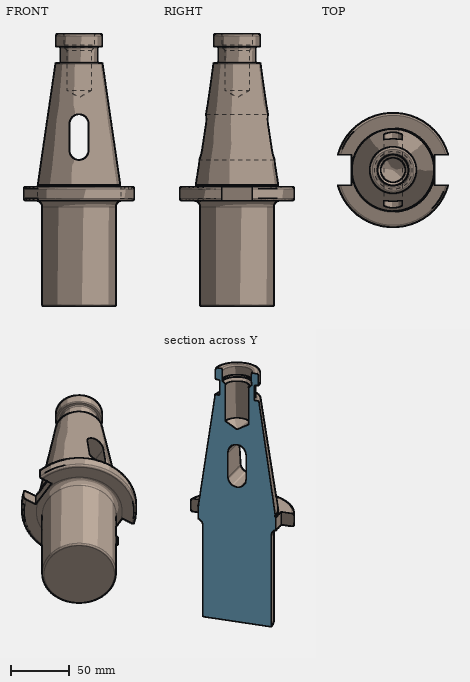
import cadquery as cq
import math

EDGE_MARGIN = 0.1

SHANK_END_TO_GAUGE = 105.0
GAUGE_TO_TIP = 126.8
TIP_Z = SHANK_END_TO_GAUGE + GAUGE_TO_TIP

TAPER_RATIO = 7 / 24
GAUGE_DIAMETER = 69.85
TAPER_LENGTH = 101.9
TAPER_EDGE_FILLET = 1.0
TAPER_TOP_Z = SHANK_END_TO_GAUGE + TAPER_LENGTH
TAPER_TOP_RADIUS = (GAUGE_DIAMETER - TAPER_LENGTH * TAPER_RATIO) / 2

RELIEF_DEPTH = 0.3
RELIEF_FILLET = 0.8
RELIEF_TOP_Z = 103.4
RELIEF_TOP_RADIUS = (GAUGE_DIAMETER + (SHANK_END_TO_GAUGE - RELIEF_TOP_Z) * TAPER_RATIO) / 2
RELIEF_RADIUS = RELIEF_TOP_RADIUS - RELIEF_DEPTH

FLANGE_DIAMETER = 97.5
FLANGE_THICKNESS = 12.0
FLANGE_FILLET = 2.0
GAUGE_TO_FLANGE = 3.2
FLANGE_TOP_Z = SHANK_END_TO_GAUGE - GAUGE_TO_FLANGE
FLANGE_BOTTOM_Z = FLANGE_TOP_Z - FLANGE_THICKNESS
NOTCH_WIDTH = 25.7
NOTCH_FLOOR_X = 35.3

SHANK_RADIUS = 31.5
SHANK_END_FILLET = 1.5
SHANK_ROOT_FILLET = 5.0

NECK_RADIUS = 16.0
KNOB_RADIUS = 19.8
KNOB_LENGTH = 11.2
KNOB_TOP_FILLET = 2.0
KNOB_BOTTOM_FILLET = 1.0
NECK_FILLET = 0.9

MOUTH_FILLET = 1.4
COUNTERBORE_RADIUS = 13.0
COUNTERBORE_DEPTH = 9.3
UNDERCUT_RADIUS = 13.4
UNDERCUT_WIDTH = 2.1
SEAT_CONE_ANGLE = 90.0
BORE_RADIUS = 10.4
BORE_DEPTH = 48.0
DRILL_POINT_ANGLE = 120.0

SLOT_WIDTH = 16.0
SLOT_HEIGHT = 38.6
SLOT_CENTER_Z = 143.9


def cone_height(radius_change, included_angle):
    """Axial length of a cone that changes radius by the given amount."""
    return radius_change / math.tan(math.radians(included_angle / 2))


def edge_box(reach, z):
    """Selector for edges that lie wholly within the given reach of the axis, at height z."""
    low = (-reach, -reach, z - EDGE_MARGIN)
    high = (reach, reach, z + EDGE_MARGIN)
    return cq.selectors.BoxSelector(low, high, boundingbox=True)


def round_circle(body, radius, z, fillet):
    """Fillet the circular edge of the given radius that lies at height z."""
    circle = edge_box(radius + EDGE_MARGIN, z) - edge_box(radius - EDGE_MARGIN, z)
    return body.edges(circle).fillet(fillet)


def make_body():
    flange_radius = FLANGE_DIAMETER / 2
    knob_bottom_z = TIP_Z - KNOB_LENGTH
    profile = (
        cq.Workplane("XZ")
        .moveTo(0, 0)
        .lineTo(SHANK_RADIUS, 0)
        .lineTo(SHANK_RADIUS, FLANGE_BOTTOM_Z)
        .lineTo(flange_radius, FLANGE_BOTTOM_Z)
        .lineTo(flange_radius, FLANGE_TOP_Z)
        .lineTo(RELIEF_RADIUS, FLANGE_TOP_Z)
        .lineTo(RELIEF_RADIUS, RELIEF_TOP_Z)
        .lineTo(RELIEF_TOP_RADIUS, RELIEF_TOP_Z)
        .lineTo(TAPER_TOP_RADIUS, TAPER_TOP_Z)
        .lineTo(NECK_RADIUS, TAPER_TOP_Z)
        .lineTo(NECK_RADIUS, knob_bottom_z)
        .lineTo(KNOB_RADIUS, knob_bottom_z)
        .lineTo(KNOB_RADIUS, TIP_Z)
        .lineTo(0, TIP_Z)
        .close()
    )
    body = profile.revolve(360, (0, 0, 0), (0, 1, 0))
    body = round_circle(body, KNOB_RADIUS, TIP_Z, KNOB_TOP_FILLET)
    body = round_circle(body, KNOB_RADIUS, knob_bottom_z, KNOB_BOTTOM_FILLET)
    body = round_circle(body, NECK_RADIUS, knob_bottom_z, NECK_FILLET)
    body = round_circle(body, NECK_RADIUS, TAPER_TOP_Z, NECK_FILLET)
    body = round_circle(body, TAPER_TOP_RADIUS, TAPER_TOP_Z, TAPER_EDGE_FILLET)
    body = round_circle(body, RELIEF_RADIUS, FLANGE_TOP_Z, RELIEF_FILLET)
    body = round_circle(body, flange_radius, FLANGE_TOP_Z, FLANGE_FILLET)
    body = round_circle(body, flange_radius, FLANGE_BOTTOM_Z, FLANGE_FILLET)
    body = round_circle(body, SHANK_RADIUS, FLANGE_BOTTOM_Z, SHANK_ROOT_FILLET)
    return round_circle(body, SHANK_RADIUS, 0, SHANK_END_FILLET)


def make_bore():
    undercut_top_z = TIP_Z - COUNTERBORE_DEPTH
    seat_top_z = undercut_top_z - UNDERCUT_WIDTH
    seat_bottom_z = seat_top_z - cone_height(COUNTERBORE_RADIUS - BORE_RADIUS, SEAT_CONE_ANGLE)
    bore_bottom_z = TIP_Z - BORE_DEPTH
    profile = (
        cq.Workplane("XZ")
        .moveTo(0, TIP_Z)
        .lineTo(COUNTERBORE_RADIUS, TIP_Z)
        .lineTo(COUNTERBORE_RADIUS, undercut_top_z)
        .lineTo(UNDERCUT_RADIUS, undercut_top_z)
        .lineTo(UNDERCUT_RADIUS, seat_top_z)
        .lineTo(COUNTERBORE_RADIUS, seat_top_z)
        .lineTo(BORE_RADIUS, seat_bottom_z)
        .lineTo(BORE_RADIUS, bore_bottom_z)
        .lineTo(0, bore_bottom_z - cone_height(BORE_RADIUS, DRILL_POINT_ANGLE))
        .close()
    )
    return profile.revolve(360, (0, 0, 0), (0, 1, 0))


def make_cross_slot():
    return (
        cq.Workplane("XZ")
        .center(0, SLOT_CENTER_Z)
        .slot2D(SLOT_HEIGHT, SLOT_WIDTH, 90)
        .extrude(GAUGE_DIAMETER, both=True)
    )


def make_notch(side):
    length = FLANGE_DIAMETER / 2
    bottom_z = FLANGE_BOTTOM_Z - SHANK_ROOT_FILLET
    height = FLANGE_TOP_Z - bottom_z
    return cq.Workplane("XY").box(length, NOTCH_WIDTH, height).translate(
        (side * (NOTCH_FLOOR_X + length / 2), 0, bottom_z + height / 2)
    )


result = make_body().cut(make_bore())
result = round_circle(result, COUNTERBORE_RADIUS, TIP_Z, MOUTH_FILLET)
result = result.cut(make_cross_slot())
for notch_side in (-1, 1):
    result = result.cut(make_notch(notch_side))